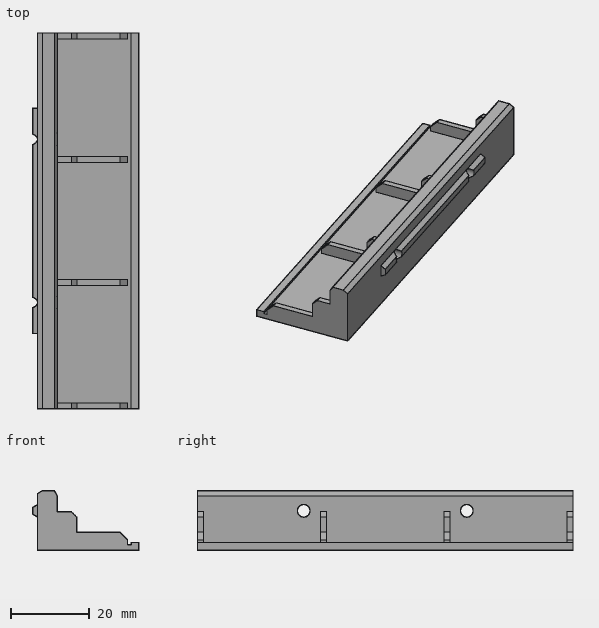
import cadquery as cq
length = 95.25
base_width = 25.7
floor_height = 1.4

wall_thickness = 5.05
wall_height = 15.1
outer_chamfer_width = 1.2
outer_chamfer_height = 0.8
inner_chamfer_width = 0.8
inner_chamfer_height = 1.3

lip_height = 2.0
lip_width = 2.0

rib_count = 4
rib_thickness = 1.5
upper_step_end = 10.0
upper_step_height = 9.8
upper_step_chamfer = 1.4
lower_step_end = 22.9
lower_step_height = 4.6
lower_step_chamfer = 1.9

rail_length = 57.15
rail_depth = 1.2
rail_center_height = 10.0
rail_base_height = 3.1
rail_face_height = 1.7

hole_diameter = 3.1
hole_spacing = 41.3


def extrude_along_length(points, thickness, center_y):
    """Extrude an XZ outline along Y, centred on center_y."""
    plane = cq.Workplane("XZ", origin=(0, center_y, 0))
    return plane.polyline(points).close().extrude(thickness / 2, both=True)


def make_body():
    """Wall, floor and lip as one strip of constant section."""
    outline = [
        (0, 0),
        (base_width, 0),
        (base_width, lip_height),
        (base_width - lip_width, lip_height),
        (base_width - lip_width, floor_height),
        (wall_thickness, floor_height),
        (wall_thickness, wall_height - inner_chamfer_height),
        (wall_thickness - inner_chamfer_width, wall_height),
        (outer_chamfer_width, wall_height),
        (0, wall_height - outer_chamfer_height),
    ]
    return extrude_along_length(outline, length, 0)


def make_rib(center_y):
    """Two-step rib that runs from inside the wall to just short of the lip."""
    root_x = wall_thickness / 2
    outline = [
        (root_x, 0),
        (lower_step_end, 0),
        (lower_step_end, lower_step_height - lower_step_chamfer),
        (lower_step_end - lower_step_chamfer, lower_step_height),
        (upper_step_end, lower_step_height),
        (upper_step_end, upper_step_height - upper_step_chamfer),
        (upper_step_end - upper_step_chamfer, upper_step_height),
        (root_x, upper_step_height),
    ]
    return extrude_along_length(outline, rib_thickness, center_y)


def make_rail():
    """Rail that tapers from the wall to a narrower outer face."""
    root_x = wall_thickness / 2
    base_half = rail_base_height / 2
    face_half = rail_face_height / 2
    outline = [
        (root_x, rail_center_height - base_half),
        (0, rail_center_height - base_half),
        (-rail_depth, rail_center_height - face_half),
        (-rail_depth, rail_center_height + face_half),
        (0, rail_center_height + base_half),
        (root_x, rail_center_height + base_half),
    ]
    return extrude_along_length(outline, rail_length, 0)


def make_hole(center_y):
    """Cylinder along X that passes through the rail and the wall."""
    plane = cq.Workplane("YZ", origin=(-rail_depth, center_y, rail_center_height))
    return plane.circle(hole_diameter / 2).extrude(rail_depth + wall_thickness)


result = make_body().union(make_rail())

rib_pitch = (length - rib_thickness) / (rib_count - 1)
for index in range(rib_count):
    rib_y = (rib_thickness - length) / 2 + index * rib_pitch
    result = result.union(make_rib(rib_y))

for side in (-1, 1):
    result = result.cut(make_hole(side * hole_spacing / 2))